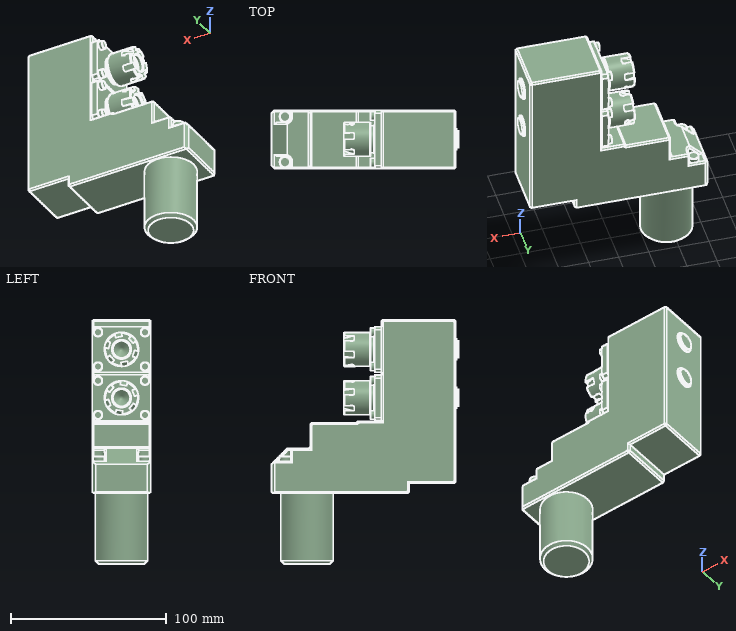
import cadquery as cq

WIDTH = 37.7
HALF_WIDTH = WIDTH / 2
TOP_Z = 157.0
TOTAL_LENGTH = 120.3
BEVEL = 1.1
CUT_MARGIN = 1.5
TOLERANCE = 0.08

BASE_Z = 45.4
BACK_X = 118.4
FOOT_END_X = 88.5
FOOT_STEP = 6.5
NOSE_TOP_Z = 74.3
NOSE_SLOPE = 10.2
NOSE_SIDE_BEVEL = 2.2
SHELF_X = 25.0
SHELF_Z = 90.7
RAMP_X = 54.6
RAMP = 1.1
HEAD_X = 70.6

SCREW_BEVEL = 0.3

POCKET_FLOOR_Z = 66.1
POCKET_BACK_X = 12.4
POCKET_WALL_Y = 10.8
POCKET_RADIUS = 3.8
NOSE_SCREW_DIAMETER = 7.0
NOSE_SCREW_X = 8.8
NOSE_SCREW_Y = 14.6
NOSE_SCREW_HEIGHT = 3.3

SHANK_DIAMETER = 33.9
SHANK_X = 23.0
SHANK_BEVEL = 2.4

SPINDLE_PITCH = 31.1
UPPER_SPINDLE_Z = 137.8
SPINDLE_HEIGHTS = [UPPER_SPINDLE_Z - SPINDLE_PITCH, UPPER_SPINDLE_Z]
FLANGE_HEIGHT = 29.4
FLANGE_THICKNESS = 4.2
FLANGE_CORNER = 2.0
FLANGE_FRONT_X = HEAD_X - FLANGE_THICKNESS
FLANGE_SCREW_DIAMETER = 5.7
FLANGE_SCREW_HEIGHT = 2.8
FLANGE_SCREW_SPACING_Y = 30.1
FLANGE_SCREW_SPACING_Z = 22.0

NUT_DIAMETER = 22.0
NUT_LENGTH = 17.5
NUT_FRONT_X = 46.5
NUT_BEVEL = 0.6
COLLAR_DIAMETER = 17.5
RIM_DIAMETER = 18.0
RIM_THICKNESS = 0.6
SHAFT_DIAMETER = 13.5
SHAFT_PROTRUSION = 0.6
TIP_DIAMETER = 11.0
BORE_DIAMETER = 11.0
BORE_DEPTH = 5.2
BORE_MOUTH_BEVEL = 0.8
GROOVE_DIAMETER = 12.5
GROOVE_WIDTH = 1.4
CONE_DEPTH = 4.1
SLOT_COUNT = 6
SLOT_WIDTH = 4.2
SLOT_LENGTH = 6.9
SLOT_FRONT_RADIUS = 8.2
FIRST_SLOT_ANGLES = [9.0, -12.0]


def housing_block():
    outline = [
        (0, BASE_Z),
        (FOOT_END_X, BASE_Z),
        (FOOT_END_X, BASE_Z + FOOT_STEP),
        (BACK_X, BASE_Z + FOOT_STEP),
        (BACK_X, TOP_Z),
        (HEAD_X, TOP_Z),
        (HEAD_X, SHELF_Z + RAMP),
        (RAMP_X + RAMP, SHELF_Z + RAMP),
        (RAMP_X, SHELF_Z),
        (SHELF_X, SHELF_Z),
        (SHELF_X, NOSE_TOP_Z),
        (NOSE_SLOPE, NOSE_TOP_Z),
        (0, NOSE_TOP_Z - NOSE_SLOPE),
    ]
    bevelled_corners = [
        (0, BASE_Z),
        (FOOT_END_X, BASE_Z),
        (BACK_X, BASE_Z + FOOT_STEP),
        (BACK_X, TOP_Z),
        (HEAD_X, TOP_Z),
        (SHELF_X, SHELF_Z),
    ]
    block = cq.Workplane("XZ").polyline(outline).close().extrude(HALF_WIDTH, both=True)
    for x, z in bevelled_corners:
        block = block.edges("|Y").edges(cq.NearestToPointSelector((x, 0, z))).chamfer(BEVEL)
    return block


def nose_pocket():
    length = POCKET_BACK_X + CUT_MARGIN
    depth_y = HALF_WIDTH - POCKET_WALL_Y + CUT_MARGIN
    height = NOSE_TOP_Z - POCKET_FLOOR_Z + CUT_MARGIN
    return (
        cq.Workplane("XY", origin=(-CUT_MARGIN, POCKET_WALL_Y, POCKET_FLOOR_Z))
        .box(length, depth_y, height, centered=False)
        .edges("|Z and >X and <Y")
        .fillet(POCKET_RADIUS)
    )


def bevel_nose_uprights(block):
    for side_y in (-HALF_WIDTH, HALF_WIDTH):
        upright = cq.NearestToPointSelector((0, side_y, (BASE_Z + POCKET_FLOOR_Z) / 2))
        block = block.edges("|Z").edges(upright).chamfer(NOSE_SIDE_BEVEL)
    return block


def bevel_side_outlines(block):
    outline_edges = block.faces("<Y or >Y").edges().vals()
    sharp_edges = [edge for edge in outline_edges if edge.Center().x > NOSE_SIDE_BEVEL + TOLERANCE]
    return block.newObject(sharp_edges).chamfer(BEVEL)


def fill_shelf_foot(block):
    foot = cq.NearestToPointSelector((SHELF_X, 0, NOSE_TOP_Z))
    return block.edges("|Y").edges(foot).chamfer(BEVEL)


def on_nose_skin(point):
    on_top = abs(point.z - NOSE_TOP_Z) < TOLERANCE
    on_slope = abs(point.z - point.x - NOSE_TOP_Z + NOSE_SLOPE) < TOLERANCE
    return on_top or on_slope


def bevel_pocket_rims(block):
    rim_edges = []
    for edge in block.edges().vals():
        center = edge.Center()
        within_pocket = (
            center.x < POCKET_BACK_X + TOLERANCE
            and abs(center.y) > POCKET_WALL_Y - TOLERANCE
            and center.z > POCKET_FLOOR_Z + TOLERANCE
        )
        if within_pocket and on_nose_skin(edge.startPoint()) and on_nose_skin(edge.endPoint()):
            rim_edges.append(edge)
    return block.newObject(rim_edges).chamfer(BEVEL)


def nose_screw_heads():
    return (
        cq.Workplane("XY", origin=(NOSE_SCREW_X, 0, POCKET_FLOOR_Z))
        .pushPoints([(0, -NOSE_SCREW_Y), (0, NOSE_SCREW_Y)])
        .circle(NOSE_SCREW_DIAMETER / 2)
        .extrude(NOSE_SCREW_HEIGHT)
        .faces(">Z")
        .chamfer(SCREW_BEVEL)
    )


def shank():
    return (
        cq.Workplane("XY", origin=(SHANK_X, 0, 0))
        .circle(SHANK_DIAMETER / 2)
        .extrude(BASE_Z)
        .faces("<Z")
        .chamfer(SHANK_BEVEL)
    )


def flange(spindle_z):
    plate = (
        cq.Workplane("YZ", origin=(FLANGE_FRONT_X, 0, spindle_z))
        .rect(WIDTH, FLANGE_HEIGHT)
        .extrude(FLANGE_THICKNESS)
        .edges("|X")
        .chamfer(FLANGE_CORNER)
    )
    screw_heads = (
        cq.Workplane("YZ", origin=(FLANGE_FRONT_X, 0, spindle_z))
        .rect(FLANGE_SCREW_SPACING_Y, FLANGE_SCREW_SPACING_Z, forConstruction=True)
        .vertices()
        .circle(FLANGE_SCREW_DIAMETER / 2)
        .extrude(-FLANGE_SCREW_HEIGHT)
        .faces("<X")
        .chamfer(SCREW_BEVEL)
    )
    return plate.union(screw_heads)


def shaft_hole(spindle_z):
    return (
        cq.Workplane("YZ", origin=(FLANGE_FRONT_X, 0, spindle_z))
        .circle(SHAFT_DIAMETER / 2)
        .extrude(BACK_X - FLANGE_FRONT_X)
    )


def make_housing():
    body = housing_block()
    body = body.cut(nose_pocket()).cut(nose_pocket().mirror("XZ"))
    body = bevel_nose_uprights(body)
    body = bevel_side_outlines(body)
    body = fill_shelf_foot(body)
    body = bevel_pocket_rims(body)
    body = body.union(nose_screw_heads()).union(shank())
    for spindle_z in SPINDLE_HEIGHTS:
        body = body.union(flange(spindle_z)).cut(shaft_hole(spindle_z))
    return body


def nut_slot():
    slope = (NUT_DIAMETER / 2 - SLOT_FRONT_RADIUS) / SLOT_LENGTH
    rise = slope * CUT_MARGIN
    profile = [
        (-CUT_MARGIN, SLOT_FRONT_RADIUS - rise),
        (SLOT_LENGTH + CUT_MARGIN, NUT_DIAMETER / 2 + rise),
        (-CUT_MARGIN, NUT_DIAMETER / 2 + rise),
    ]
    return cq.Workplane("XZ").polyline(profile).close().extrude(SLOT_WIDTH / 2, both=True)


def make_spindle(spindle_z, first_slot_angle):
    nut_radius = NUT_DIAMETER / 2
    bore_radius = BORE_DIAMETER / 2
    collar_end = FLANGE_FRONT_X - NUT_FRONT_X
    shaft_end = BACK_X + SHAFT_PROTRUSION - NUT_FRONT_X
    half_section = [
        (BORE_DEPTH + CONE_DEPTH, 0),
        (BORE_DEPTH, bore_radius),
        (BORE_DEPTH, GROOVE_DIAMETER / 2),
        (BORE_DEPTH - GROOVE_WIDTH, GROOVE_DIAMETER / 2),
        (BORE_DEPTH - GROOVE_WIDTH, bore_radius),
        (BORE_MOUTH_BEVEL, bore_radius),
        (0, bore_radius + BORE_MOUTH_BEVEL),
        (0, nut_radius - NUT_BEVEL),
        (NUT_BEVEL, nut_radius),
        (NUT_LENGTH - NUT_BEVEL, nut_radius),
        (NUT_LENGTH, nut_radius - NUT_BEVEL),
        (NUT_LENGTH, COLLAR_DIAMETER / 2),
        (collar_end - RIM_THICKNESS, COLLAR_DIAMETER / 2),
        (collar_end - RIM_THICKNESS, RIM_DIAMETER / 2),
        (collar_end, RIM_DIAMETER / 2),
        (collar_end, SHAFT_DIAMETER / 2),
        (shaft_end, SHAFT_DIAMETER / 2),
        (shaft_end, TIP_DIAMETER / 2),
        (TOTAL_LENGTH - NUT_FRONT_X, TIP_DIAMETER / 2),
        (TOTAL_LENGTH - NUT_FRONT_X, 0),
    ]
    spindle = cq.Workplane("XZ").polyline(half_section).close().revolve(360, (0, 0), (1, 0))
    for i in range(SLOT_COUNT):
        angle = first_slot_angle + i * 360 / SLOT_COUNT
        spindle = spindle.cut(nut_slot().rotate((0, 0, 0), (1, 0, 0), angle))
    return spindle.translate((NUT_FRONT_X, 0, spindle_z))


housing = make_housing()
spindles = [make_spindle(z, angle) for z, angle in zip(SPINDLE_HEIGHTS, FIRST_SLOT_ANGLES)]
result = cq.Compound.makeCompound([housing.val(), *[spindle.val() for spindle in spindles]])